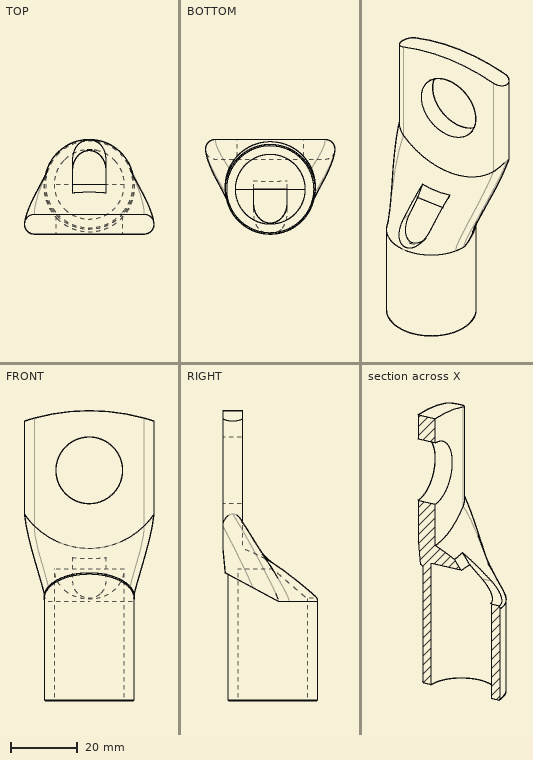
import cadquery as cq
import math


barrel_radius = 27 / 2
bore_radius = 21 / 2
barrel_rear_height = 30.0
rim_chamfer = 0.4

slope_start_y = 1.7
neck_front_y = -14.3
neck_front_height = 38.6

palm_width = 39.0
palm_thickness = 6.0
palm_front_y = -15.0
palm_rear_y = palm_front_y + palm_thickness
palm_middle_y = palm_front_y + palm_thickness / 2
palm_half_width = palm_width / 2
palm_flat_half_width = palm_half_width - palm_thickness / 2
total_height = 87.38
palm_top_radius = 62.0
hole_radius = 20 / 2
hole_height = 69.4
palm_base_radius = 23.5

seam_rear_y = 4.9
seam_front_y = -6.1
neck_sections = [
    (0.15, 2.1, 0.0),
    (0.55, 2.1, 0.6),
]

slot_width = 10.0
slot_bottom_height = 31.0
slot_floor_upper_y = -2.45
slot_floor_upper_height = 43.0
cavity_peak_y = 0.0
cavity_peak_height = 39.7
cavity_rear_height = 30.7

ARC_SAMPLES = 9
FLOOR_OVERRUN = 2
SEWING_TOLERANCE = 1e-3


def mirrored(point):
    return cq.Vector(-point.x, point.y, point.z)


def palm_base_point(x, y):
    """Point on the concentric cylinder that closes the lower end of the palm."""
    return cq.Vector(x, y, hole_height - math.sqrt(palm_base_radius**2 - x**2))


def slope_point(x, y):
    """Point on the sloped plane at the front end of the barrel."""
    gradient = (neck_front_height - barrel_rear_height) / (slope_start_y - neck_front_y)
    return cq.Vector(x, y, barrel_rear_height + gradient * (slope_start_y - y))


def barrel_rear_point(angle):
    x = barrel_radius * math.cos(angle)
    y = barrel_radius * math.sin(angle)
    return cq.Vector(x, y, barrel_rear_height)


def neck_front_point(angle):
    """Lower front edge of the neck: a circle in plan, lying on the sloped plane."""
    x = neck_plan_radius * math.cos(angle)
    y = neck_plan_centre_y + neck_plan_radius * math.sin(angle)
    return slope_point(x, y)


def palm_side_point(angle):
    x = palm_flat_half_width + palm_thickness / 2 * math.cos(angle)
    y = palm_middle_y + palm_thickness / 2 * math.sin(angle)
    return palm_base_point(x, y)


def sampled(curve, start, end):
    step = (end - start) / (ARC_SAMPLES - 1)
    return [curve(start + i * step) for i in range(ARC_SAMPLES)]


def closed_loop(rear, rear_side, front_side, front):
    """Six stretches around the neck, starting at the right rear seam."""
    left_front = [mirrored(p) for p in reversed(front_side)]
    left_rear = [mirrored(p) for p in reversed(rear_side)]
    return [rear_side, front_side, front, left_front, left_rear, rear]


def loop_edges(loop):
    return [cq.Edge.makeSpline(points) for points in loop]


slope_start_x = math.sqrt(barrel_radius**2 - slope_start_y**2)
neck_plan_depth = slope_start_y - neck_front_y
neck_plan_radius = (slope_start_x**2 + neck_plan_depth**2) / (2 * neck_plan_depth)
neck_plan_centre_y = neck_front_y + neck_plan_radius

rear_seam_angle = math.asin(seam_rear_y / barrel_radius)
slope_start_angle = math.asin(slope_start_y / barrel_radius)
plan_start_angle = math.asin((slope_start_y - neck_plan_centre_y) / neck_plan_radius)
front_seam_angle = math.asin((seam_front_y - neck_plan_centre_y) / neck_plan_radius)


def lower_loop():
    return closed_loop(
        sampled(barrel_rear_point, math.pi - rear_seam_angle, rear_seam_angle),
        sampled(barrel_rear_point, rear_seam_angle, slope_start_angle),
        sampled(neck_front_point, plan_start_angle, front_seam_angle),
        sampled(neck_front_point, front_seam_angle, -math.pi - front_seam_angle),
    )


def upper_loop():
    flat = palm_flat_half_width
    return closed_loop(
        sampled(lambda x: palm_base_point(x, palm_rear_y), -flat, flat),
        sampled(palm_side_point, math.pi / 2, 0),
        sampled(palm_side_point, 0, -math.pi / 2),
        sampled(lambda x: palm_base_point(x, palm_front_y), flat, -flat),
    )


def neck_point(low, high, fraction, rear_rise, side_bulge):
    """Point part-way up the neck, raised at the rear and pushed out at the sides."""
    rear_share = (low.y + barrel_radius) / (2 * barrel_radius)
    bulge = cq.Vector(side_bulge * low.x / barrel_radius, 0, rear_rise * rear_share)
    return low + (high - low) * fraction + bulge


def neck_loop(lower, upper, section):
    """Loop around the neck between its lower and upper edges."""
    return [
        [neck_point(low, high, *section) for low, high in zip(low_points, high_points)]
        for low_points, high_points in zip(lower, upper)
    ]


def along_y_disc(radius, height):
    """Cylinder along Y, long enough to span the whole part."""
    return (
        cq.Workplane("XZ")
        .center(0, height)
        .circle(radius)
        .extrude(palm_width, both=True)
    )


def make_palm():
    """Flat palm with rounded edges, hollowed below by the concentric base arc."""
    outer_arc = palm_thickness / 2 * math.cos(math.pi / 4)
    arc_x = palm_flat_half_width + outer_arc
    front_y = palm_middle_y - outer_arc
    rear_y = palm_middle_y + outer_arc
    lowest_height = hole_height - palm_base_radius
    blank = (
        cq.Workplane("XY")
        .workplane(offset=lowest_height)
        .moveTo(-palm_flat_half_width, palm_front_y)
        .lineTo(palm_flat_half_width, palm_front_y)
        .threePointArc((arc_x, front_y), (palm_half_width, palm_middle_y))
        .threePointArc((arc_x, rear_y), (palm_flat_half_width, palm_rear_y))
        .lineTo(-palm_flat_half_width, palm_rear_y)
        .threePointArc((-arc_x, rear_y), (-palm_half_width, palm_middle_y))
        .threePointArc((-arc_x, front_y), (-palm_flat_half_width, palm_front_y))
        .close()
        .extrude(total_height - lowest_height)
    )
    base_disc = along_y_disc(palm_base_radius, hole_height)
    above_hole = (
        cq.Workplane("XY")
        .workplane(offset=hole_height)
        .rect(2 * palm_width, 2 * palm_width)
        .extrude(total_height)
    )
    top_disc = along_y_disc(palm_top_radius, total_height - palm_top_radius)
    return blank.intersect(base_disc.union(above_hole)).intersect(top_disc)


def floor_face(edges):
    return cq.Face.makeFromWires(cq.Wire.assembleEdges(edges))


def make_palm_and_neck():
    """One closed skin: palm faces, lofted neck faces and the two neck floors."""
    lower = lower_loop()
    upper = upper_loop()
    between = [neck_loop(lower, upper, section) for section in neck_sections]
    loops = [lower, *between, upper]
    wires = [cq.Wire.assembleEdges(loop_edges(loop)) for loop in loops]
    neck_skin = cq.occ_impl.shapes.loft(wires)

    rear_side, front_side, front, left_front, left_rear, rear = loop_edges(lower)
    step_edge = cq.Edge.makeLine(front_side.startPoint(), left_front.endPoint())
    floors = [
        floor_face([rear, rear_side, step_edge, left_rear]),
        floor_face([front_side, front, left_front, step_edge]),
    ]

    palm_faces = make_palm().faces().vals()
    palm_base = min(palm_faces, key=lambda face: face.Center().z)
    palm_skin = [face for face in palm_faces if face is not palm_base]
    skin = cq.occ_impl.shapes.shell(neck_skin.Faces() + floors + palm_skin, tol=SEWING_TOLERANCE)
    return cq.Workplane(obj=cq.Solid.makeSolid(skin))


def make_barrel():
    """Round barrel, chamfered at the rim and running up to the sloped plane."""
    barrel = (
        cq.Workplane("XY")
        .circle(barrel_radius)
        .extrude(neck_front_height)
        .faces("<Z")
        .chamfer(rim_chamfer)
    )
    rear_y = barrel_radius + palm_thickness
    front = slope_point(0, -rear_y)
    above_barrel = (
        cq.Workplane("YZ")
        .polyline([
            (rear_y, barrel_rear_height),
            (slope_start_y, barrel_rear_height),
            (front.y, front.z),
            (front.y, total_height),
            (rear_y, total_height),
        ])
        .close()
        .extrude(palm_width, both=True)
    )
    return barrel.cut(above_barrel)


def make_cavity():
    """Bore with a flat top that slopes down to the rear wall."""
    ceiling = (
        cq.Workplane("YZ")
        .polyline([
            (-bore_radius, 0),
            (bore_radius, 0),
            (bore_radius, cavity_rear_height),
            (cavity_peak_y, cavity_peak_height),
            (-bore_radius, cavity_peak_height),
        ])
        .close()
        .extrude(bore_radius, both=True)
    )
    return cq.Workplane("XY").circle(bore_radius).extrude(cavity_peak_height).intersect(ceiling)


def make_slot():
    """Round-bottomed slot through the rear of the neck, with an inclined upper floor."""
    half_width = slot_width / 2
    arc_height = slot_bottom_height + half_width
    floor_run = slot_floor_upper_y - cavity_peak_y
    floor_rise = slot_floor_upper_height - cavity_peak_height
    profile = (
        cq.Workplane("YZ")
        .polyline([
            (cavity_peak_y, 0),
            (cavity_peak_y, cavity_peak_height),
            (cavity_peak_y + FLOOR_OVERRUN * floor_run, cavity_peak_height + FLOOR_OVERRUN * floor_rise),
            (palm_width, cavity_peak_height + FLOOR_OVERRUN * floor_rise),
            (palm_width, 0),
        ])
        .close()
        .extrude(half_width, both=True)
    )
    round_bottom = (
        cq.Workplane("XZ")
        .moveTo(-half_width, total_height)
        .lineTo(-half_width, arc_height)
        .threePointArc((0, slot_bottom_height), (half_width, arc_height))
        .lineTo(half_width, total_height)
        .close()
        .extrude(palm_width, both=True)
    )
    return profile.intersect(round_bottom)


palm_hole = along_y_disc(hole_radius, hole_height)

body = make_palm_and_neck().union(make_barrel()).clean()
result = body.cut(make_cavity()).cut(make_slot()).cut(palm_hole)